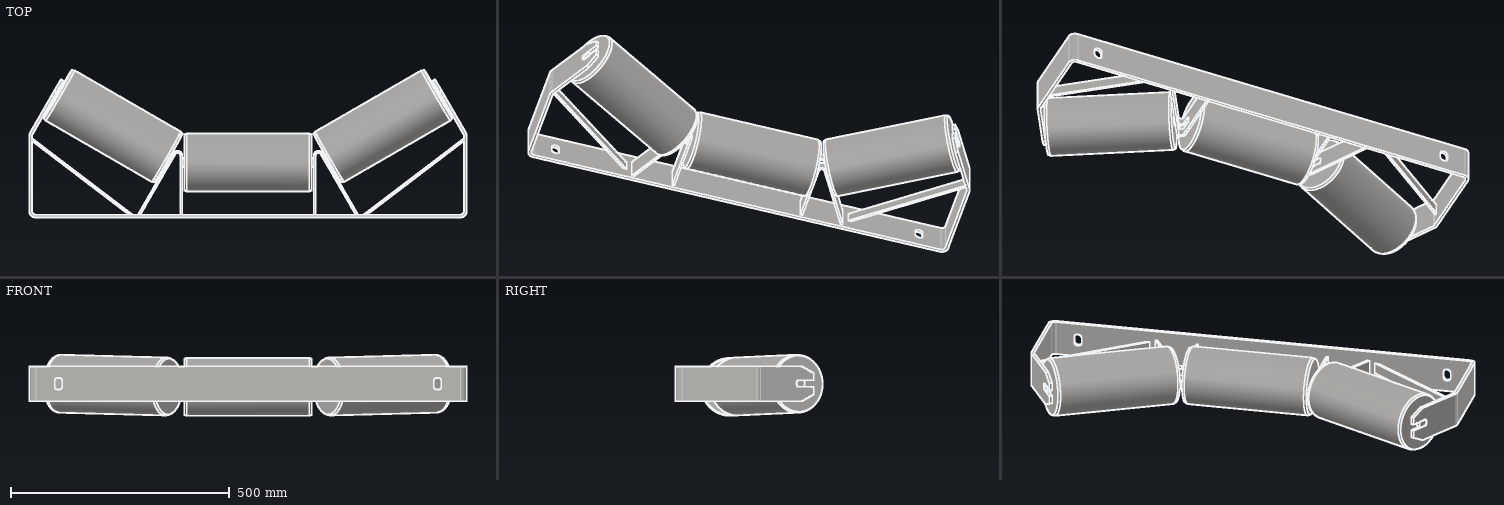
import cadquery as cq
import math

frame_length = 1000.0
frame_height = 80.0
band_thickness = 7.0
bend_radius = 15.0
arm_tip = 33.0
tip_bevel_length = 30.0
tip_bevel_height = 15.0

trough_angle = 30.0
outer_lift_angle = 1.3
roller_diameter = 133.0
shell_length = 292.0
rim_length = 6.0
rim_depth = 2.5
center_roller_y = 126.0
center_roller_z = -7.0
side_roller_x = 308.0
side_roller_y = 209.0
side_roller_z = -3.0
shaft_diameter = 22.0
shaft_flat_width = 15.0
support_distance = 150.0
cut_margin = 20.0

bracket_thickness = 5.0
bracket_height = 50.0
bracket_bend_radius = 11.0

strut_height = 25.0
strut_thickness = 5.0
strut_side_y = 181.0
strut_base_x = 264.0

hole_spacing = 866.0
hole_width = 18.0
hole_height = 28.0

frame_half_length = frame_length / 2
roller_radius = roller_diameter / 2
shaft_radius = shaft_diameter / 2
shaft_half_length = support_distance + bracket_thickness
trough = math.radians(trough_angle)
cos_trough = math.cos(trough)
sin_trough = math.sin(trough)
tan_trough = math.tan(trough)


def place_center(body):
    """Move a body from the origin to the middle roller."""
    return body.translate((0, center_roller_y, center_roller_z))


def turn_right(body, height):
    """Turn a body along X to the direction of the right side roller and move it there."""
    turned = body.rotate((0, 0, 0), (0, 0, 1), trough_angle)
    return turned.translate((side_roller_x, side_roller_y, height))


def place_right(body):
    """Move a body that lies along X at the origin to the tilted right side roller."""
    return turn_right(body.rotate((0, 0, 0), (0, 1, 0), -outer_lift_angle), side_roller_z)


def mirrored(body):
    return body.mirror("YZ")


def block(x_range, y_range, z_range):
    """Box between the given limits."""
    sizes = [high - low for low, high in (x_range, y_range, z_range)]
    corner = (x_range[0], y_range[0], z_range[0])
    return cq.Workplane("XY").box(*sizes, centered=False).translate(corner)


def upright_prism(points, height):
    """Outline in XY, extruded half the height up and half down."""
    return cq.Workplane("XY").polyline(points).close().extrude(height / 2, both=True)



def make_shaft(half_length):
    """Round bar along X with two flats, at the top and the bottom."""
    bar = cq.Workplane("YZ").circle(shaft_radius).extrude(half_length, both=True)
    return bar.intersect(cq.Workplane("XY").box(2 * half_length, shaft_diameter, shaft_flat_width))


def make_roller():
    """Shell with bevelled rims on its flatted shaft, along X about the origin."""
    end = shell_length / 2
    shell = (cq.Workplane("XY")
             .moveTo(-end, 0)
             .lineTo(-end, roller_radius - rim_depth)
             .lineTo(-end + rim_length, roller_radius)
             .lineTo(end - rim_length, roller_radius)
             .lineTo(end, roller_radius - rim_depth)
             .lineTo(end, 0)
             .close()
             .revolve(360, (0, 0, 0), (1, 0, 0)))
    return shell.union(make_shaft(shaft_half_length))



def make_band():
    """Bent band: base, sides and the arms that lean in over the side rollers."""
    arm_distance = support_distance + band_thickness
    corner_y = side_roller_y + (arm_distance - (frame_half_length - side_roller_x) * cos_trough) / sin_trough
    end_y = side_roller_y + roller_diameter
    end_x = frame_half_length - (end_y - corner_y) * tan_trough
    outline = [(-frame_half_length, 0), (frame_half_length, 0), (frame_half_length, corner_y),
               (end_x, end_y), (-end_x, end_y), (-frame_half_length, corner_y)]
    band = upright_prism(outline, frame_height).edges("|Z and (<X or >X)").fillet(bend_radius)
    return band.faces("|Z or >Y").shell(-band_thickness)


def make_arm_trim():
    """What is cut off the right arm to leave a tip with two bevelled corners."""
    x_range = (support_distance - cut_margin, support_distance + cut_margin)
    half_height = frame_height / 2
    tip_half_height = half_height - tip_bevel_height
    bevel_start = arm_tip - tip_bevel_length
    tip = (cq.Workplane("YZ").workplane(offset=x_range[0])
           .polyline([(bevel_start, -half_height), (arm_tip, -tip_half_height),
                      (arm_tip, tip_half_height), (bevel_start, half_height)])
           .close().extrude(x_range[1] - x_range[0]))
    trim = block(x_range, (bevel_start, roller_diameter), (-half_height, half_height)).cut(tip)
    return turn_right(trim, 0)


def make_right_bracket():
    """Bent plate with one leg at the middle roller and one at the right side roller."""
    slant_x = side_roller_x - support_distance * cos_trough
    slant_y = side_roller_y - support_distance * sin_trough
    foot_x = slant_x + (slant_y - band_thickness) * tan_trough
    peak_y = slant_y + (slant_x - support_distance) / tan_trough
    outline = [(support_distance, band_thickness), (foot_x, band_thickness), (support_distance, peak_y)]
    bracket = upright_prism(outline, bracket_height).edges("|Z and >Y").fillet(bracket_bend_radius)
    bracket = bracket.faces("|Z or <Y").shell(-bracket_thickness)
    return bracket.translate((0, 0, center_roller_z))


def make_right_strut():
    """Straight plate from the right side down to the base."""
    side_x = frame_half_length - band_thickness
    run = side_x - strut_base_x
    rise = strut_side_y - band_thickness
    length = math.hypot(run, rise)
    drop = strut_thickness * length / run
    shift = strut_thickness * length / rise
    return upright_prism([(strut_base_x, band_thickness), (strut_base_x + shift, band_thickness),
                          (side_x, strut_side_y - drop), (side_x, strut_side_y)], strut_height)


def make_slots():
    """Slots at both ends of a shaft along X at the origin: rounded bottom, open towards +Y."""
    inner = shell_length / 2
    outer = support_distance + cut_margin
    half_width = shaft_flat_width / 2
    channel = block((-outer, outer), (0, roller_radius), (-half_width, half_width))
    shell_space = block((-inner, inner), (-roller_radius, roller_radius), (-half_width, half_width))
    return channel.union(make_shaft(outer)).cut(shell_space)


def make_mounting_holes():
    """Upright slots through the base."""
    return (cq.Workplane("XZ")
            .pushPoints([(-hole_spacing / 2, 0), (hole_spacing / 2, 0)])
            .slot2D(hole_height, hole_width, 90)
            .extrude(-band_thickness))


def make_frame():
    """Band with its brackets and struts welded on, slotted for the three shafts."""
    arm_trim = make_arm_trim()
    frame = make_band().cut(arm_trim).cut(mirrored(arm_trim)).cut(make_mounting_holes())
    for piece in (make_right_bracket(), make_right_strut()):
        frame = frame.union(piece).union(mirrored(piece))
    right_slots = place_right(make_slots())
    for slots in (place_center(make_slots()), right_slots, mirrored(right_slots)):
        frame = frame.cut(slots)
    return frame


frame = make_frame()
right_roller = place_right(make_roller())
rollers = [place_center(make_roller()), right_roller, mirrored(right_roller)]

result = cq.Compound.makeCompound([frame.val(), *[roller.val() for roller in rollers]])